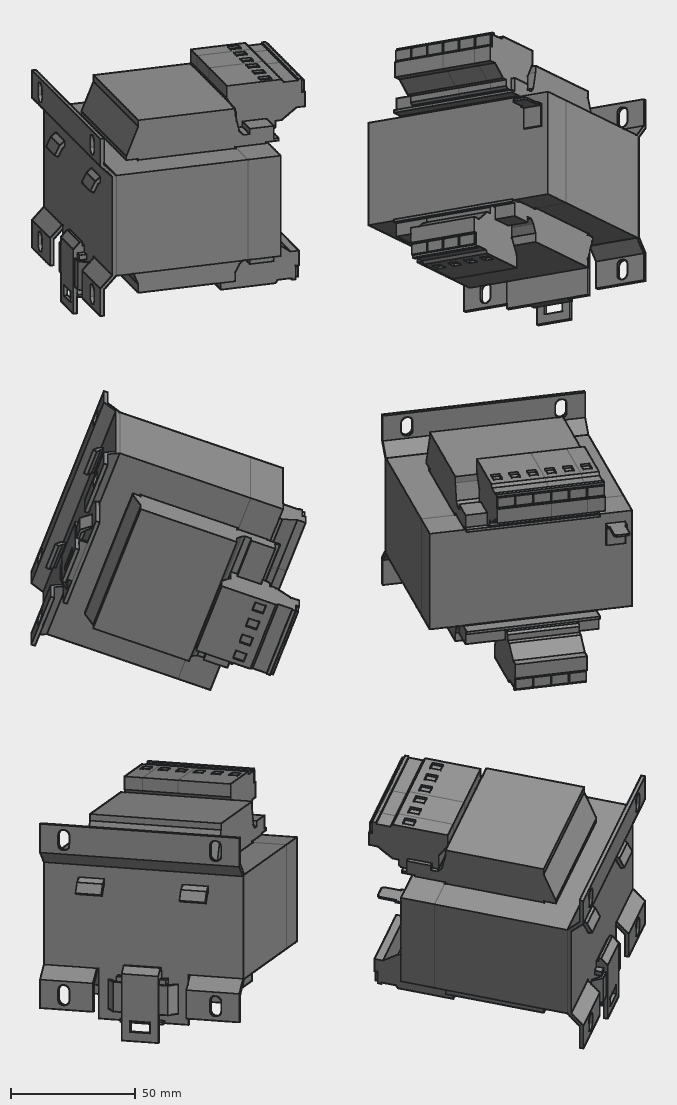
import cadquery as cq


OVERALL_DEPTH = 95.15
OVERALL_HEIGHT = 94.05

LEG = 14.0
CORE_WIDTH = 6 * LEG
CORE_DEPTH = 5 * LEG
SEAM_Y = 4 * LEG
STACK = 43.0
HALF_STACK = STACK / 2

BOBBIN_WIDTH = 55.3
BOBBIN_FRONT_Y = 14.4
BOBBIN_BACK_Y = 55.6
FLANGE_GAP = 0.4
FLANGE_Z = HALF_STACK + FLANGE_GAP
LIP_Z = 22.4
LIP_TOP_Z = 23.5
LIP_START_Y = 68.7
LIP_END_Y = 74.1
SEAT_TOP_Z = 29.0
SEAT_BACK_Y = 72.0
SEAT_FRONT_Y = 61.8
VALLEY_Z = 26.7
VALLEY_Y = 59.1
VALLEY_CHAMFER = 1.7
UPPER_CROWN_Z = 38.4
UPPER_FOOT_Y = 9.3
UPPER_KNEE_Z = 35.7
LOWER_CROWN_Z = 35.6
LOWER_FOOT_Y = 10.9
LOWER_KNEE_Z = 31.9
FOOT_TOP_Z = 23.5

PITCH = 7.45
TERMINAL_START_X = -26.05
TERMINAL_TOP_Z = 45.0
TERMINAL_BACK_Y = 88.4
TERMINAL_FACE_Y = 87.0
TERMINAL_FRONT_Y = 55.2
TERMINAL_FRONT_LOW_Z = 39.6
TERMINAL_NECK_Y = 59.1
TERMINAL_NECK_Z = 33.3
LATCH_BOTTOM_Z = 23.9
LATCH_TOP_Z = 27.5
LATCH_BACK_Y = 75.9
LATCH_CHAMFER = 1.0
RAMP_START_Y = 78.4
RAMP_END_Y = 84.8
ENTRY_LOW_Z = 32.2
ENTRY_HIGH_Z = 38.5
RIDGE_FRONT_Y = 85.4
RIDGE_TOP_Z = 44.4
LEDGE_Z = 43.7
LEDGE_FRONT_Y = 79.4
TERMINAL_TOP_BACK_Y = 78.4
UPPER_BLOCKS = (1, 2, 3)
LOWER_BLOCKS = (4,)
LOWER_FIRST_POLE = 1
POCKET_WIDTH = 3.6
POCKET_LENGTH = 4.5
POCKET_CENTER_Y = 72.6
POCKET_DEPTH = 1.0
MARKER_GAP = 0.5
MARKER_THICKNESS = 1.1
MARKER_LOW_Z = 39.1
MARKER_HIGH_Z = 43.4

SHEET = 1.65
PLATE_FRONT_Y = -SHEET
FOOT_FRONT_Y = TERMINAL_BACK_Y - OVERALL_DEPTH
FOOT_BACK_Y = FOOT_FRONT_Y + SHEET
PLATE_HALF_HEIGHT = 38.0
BEND_BACK_Z = (21.6, 26.8)
BEND_FRONT_Z = (21.1, 26.2)
TONGUE_HALF_WIDTH = 18.9
TONGUE_BOTTOM_Z = -41.8
NOTCH_WIDTH = 0.8
SLOT_SPACING = 64.0
SLOT_LENGTH = 8.4
SLOT_WIDTH = 4.8

HOOK_WIDTH = 10.8
HOOK_X = 21.9
HOOK_ROOT_Z = (13.6, 16.0)
HOOK_OUTER_BEND = (-3.8, 14.3)
HOOK_OUTER_TIP = (-5.9, 10.3)
HOOK_INNER_TIP = (-4.4, 9.5)
HOOK_INNER_BEND = (-2.6, 12.9)

CLIP_WIDTH = 15.4
CLIP_FRONT_Y = -6.35
CLIP_BACK_Y = CLIP_FRONT_Y + SHEET
CLIP_BOTTOM_Z = TERMINAL_TOP_Z - OVERALL_HEIGHT
CLIP_TOP_Z = -18.7
CLIP_HEAD_STEP_Y = -2.5
CLIP_HEAD_STEP_Z = -20.3
CLIP_CHAMFER_Y = -3.6
CLIP_CHAMFER_Z = -21.5
CLIP_HEAD_BOTTOM_Z = -25.3
CLIP_WINDOW_WIDTH = 8.4
CLIP_WINDOW_Z = (-45.3, -40.7)
CROSSBAR_WIDTH = 20.8
CROSSBAR_TOP_Z = -23.2
STOP_WIDTH = 17.8
STOP_TOP_Z = -40.7
GUIDE_BASE_WIDTH = 29.5
GUIDE_TOP_WIDTH = 23.0
GUIDE_FRONT_Y = -5.7
GUIDE_Z = (-37.5, -25.3)

TAB_X = -35.1
TAB_BASE_WIDTH = 7.9
TAB_BLADE_WIDTH = 6.4
TAB_THICKNESS = 0.85
TAB_TOP_Z = 16.9
TAB_BOTTOM_Z = 7.5
TAB_SHOULDER_Y = 73.2
TAB_TIP_Y = 81.1
TAB_TIP_CHAMFER = 0.9


def box(x, y, z):
    """Box from (low, high) ranges along each axis."""
    size = [high - low for low, high in (x, y, z)]
    return cq.Workplane("XY").box(*size, centered=False).translate((x[0], y[0], z[0]))


def centered(width, center=0.0):
    return (center - width / 2, center + width / 2)


def side_profile(x_start):
    """Sketch plane holding (Y, Z) points, extruding toward +X."""
    return cq.Workplane("YZ", origin=(x_start, 0, 0))


def make_core():
    height = (-HALF_STACK, HALF_STACK)
    core = box(centered(CORE_WIDTH), (0, SEAM_Y), height)
    for side in (-1, 1):
        core = core.cut(box(centered(LEG, side * 1.5 * LEG), (LEG, SEAM_Y), height))
    yoke = box(centered(CORE_WIDTH), (SEAM_Y, CORE_DEPTH), height)
    return core.union(yoke, clean=False)


def make_bobbin_half(sign, crown_z, foot_y, knee_z):
    """Part of the bobbin above (sign = 1) or below (sign = -1) the core."""

    def p(y, z):
        return (y, sign * z)

    return (
        side_profile(-BOBBIN_WIDTH / 2)
        .moveTo(*p(foot_y, FLANGE_Z))
        .lineTo(*p(LIP_START_Y, FLANGE_Z))
        .lineTo(*p(LIP_START_Y, LIP_Z))
        .lineTo(*p(LIP_END_Y, LIP_Z))
        .lineTo(*p(LIP_END_Y, LIP_TOP_Z))
        .lineTo(*p(SEAT_BACK_Y, LIP_TOP_Z))
        .lineTo(*p(SEAT_BACK_Y, SEAT_TOP_Z))
        .lineTo(*p(SEAT_FRONT_Y, SEAT_TOP_Z))
        .lineTo(*p(SEAT_FRONT_Y, VALLEY_Z))
        .lineTo(*p(VALLEY_Y, VALLEY_Z))
        .lineTo(*p(VALLEY_Y - VALLEY_CHAMFER, VALLEY_Z + VALLEY_CHAMFER))
        .lineTo(*p(BOBBIN_BACK_Y, knee_z))
        .lineTo(*p(BOBBIN_BACK_Y, crown_z))
        .lineTo(*p(BOBBIN_FRONT_Y, crown_z))
        .lineTo(*p(BOBBIN_FRONT_Y, knee_z))
        .lineTo(*p(foot_y, FOOT_TOP_Z))
        .close()
        .extrude(BOBBIN_WIDTH)
    )


def make_bobbin():
    bobbin = make_bobbin_half(1, UPPER_CROWN_Z, UPPER_FOOT_Y, UPPER_KNEE_Z)
    bobbin = bobbin.union(make_bobbin_half(-1, LOWER_CROWN_Z, LOWER_FOOT_Y, LOWER_KNEE_Z))
    depth = (BOBBIN_FRONT_Y, BOBBIN_BACK_Y)
    height = (-FLANGE_Z, FLANGE_Z)
    half = BOBBIN_WIDTH / 2
    for window in ((-half, -LEG), (LEG, half)):
        bobbin = bobbin.union(box(window, depth, height))
    return bobbin


def make_terminal_row(first_pole, blocks):
    """Upper row of terminal blocks, each block covering a number of poles."""
    outline = [
        (TERMINAL_FRONT_Y, TERMINAL_TOP_Z),
        (TERMINAL_FRONT_Y, TERMINAL_FRONT_LOW_Z),
        (TERMINAL_NECK_Y, TERMINAL_NECK_Z),
        (TERMINAL_NECK_Y, VALLEY_Z),
        (SEAT_FRONT_Y, VALLEY_Z),
        (SEAT_FRONT_Y, SEAT_TOP_Z),
        (SEAT_BACK_Y, SEAT_TOP_Z),
        (SEAT_BACK_Y, LATCH_BOTTOM_Z),
        (LATCH_BACK_Y - LATCH_CHAMFER, LATCH_BOTTOM_Z),
        (LATCH_BACK_Y, LATCH_BOTTOM_Z + LATCH_CHAMFER),
        (LATCH_BACK_Y, LATCH_TOP_Z),
        (RAMP_START_Y, LATCH_TOP_Z),
        (RAMP_END_Y, ENTRY_LOW_Z),
        (TERMINAL_BACK_Y, ENTRY_LOW_Z),
        (TERMINAL_BACK_Y, ENTRY_HIGH_Z),
        (TERMINAL_FACE_Y, ENTRY_HIGH_Z),
        (TERMINAL_FACE_Y, RIDGE_TOP_Z),
        (RIDGE_FRONT_Y, RIDGE_TOP_Z),
        (RIDGE_FRONT_Y, LEDGE_Z),
        (LEDGE_FRONT_Y, LEDGE_Z),
        (TERMINAL_TOP_BACK_Y, TERMINAL_TOP_Z),
    ]
    row = cq.Workplane("XY")
    pole = first_pole
    for poles in blocks:
        x = TERMINAL_START_X + pole * PITCH
        block = side_profile(x).polyline(outline).close().extrude(poles * PITCH)
        row = row.union(block, clean=False)
        pole += poles

    for index in range(first_pole, pole):
        x = TERMINAL_START_X + (index + 0.5) * PITCH
        pocket = box(
            centered(POCKET_WIDTH, x),
            centered(POCKET_LENGTH, POCKET_CENTER_Y),
            (TERMINAL_TOP_Z - POCKET_DEPTH, TERMINAL_TOP_Z),
        )
        marker = box(
            centered(PITCH - MARKER_GAP, x),
            (TERMINAL_FACE_Y, TERMINAL_FACE_Y + MARKER_THICKNESS),
            (MARKER_LOW_Z, MARKER_HIGH_Z),
        )
        row = row.cut(pocket, clean=False).union(marker, clean=False)
    return row


def make_plate():
    back_start, back_end = BEND_BACK_Z
    front_start, front_end = BEND_FRONT_Z
    outline = [
        (FOOT_BACK_Y, PLATE_HALF_HEIGHT),
        (FOOT_BACK_Y, back_end),
        (0, back_start),
        (0, -back_start),
        (FOOT_BACK_Y, -back_end),
        (FOOT_BACK_Y, -PLATE_HALF_HEIGHT),
        (FOOT_FRONT_Y, -PLATE_HALF_HEIGHT),
        (FOOT_FRONT_Y, -front_end),
        (PLATE_FRONT_Y, -front_start),
        (PLATE_FRONT_Y, front_start),
        (FOOT_FRONT_Y, front_end),
        (FOOT_FRONT_Y, PLATE_HALF_HEIGHT),
    ]
    plate = side_profile(-CORE_WIDTH / 2).polyline(outline).close().extrude(CORE_WIDTH)

    notch_width = 2 * (TONGUE_HALF_WIDTH + NOTCH_WIDTH)
    notch = box(centered(notch_width), (FOOT_FRONT_Y, 0), (-PLATE_HALF_HEIGHT, -front_start))
    tongue = box(centered(2 * TONGUE_HALF_WIDTH), (PLATE_FRONT_Y, 0), (TONGUE_BOTTOM_Z, -front_start))
    plate = plate.cut(notch).union(tongue)

    slots = (
        cq.Workplane("XZ", origin=(0, FOOT_BACK_Y, 0))
        .rect(SLOT_SPACING, SLOT_SPACING, forConstruction=True)
        .vertices()
        .slot2D(SLOT_LENGTH, SLOT_WIDTH, 90)
        .extrude(SHEET)
    )
    return plate.cut(slots)


def make_hook(center_x):
    outline = [
        (PLATE_FRONT_Y, HOOK_ROOT_Z[1]),
        HOOK_OUTER_BEND,
        HOOK_OUTER_TIP,
        HOOK_INNER_TIP,
        HOOK_INNER_BEND,
        (PLATE_FRONT_Y, HOOK_ROOT_Z[0]),
    ]
    return side_profile(center_x - HOOK_WIDTH / 2).polyline(outline).close().extrude(HOOK_WIDTH)


def make_clip():
    outline = [
        (PLATE_FRONT_Y, CLIP_HEAD_STEP_Z),
        (CLIP_HEAD_STEP_Y, CLIP_HEAD_STEP_Z),
        (CLIP_HEAD_STEP_Y, CLIP_TOP_Z),
        (CLIP_CHAMFER_Y, CLIP_TOP_Z),
        (CLIP_FRONT_Y, CLIP_CHAMFER_Z),
        (CLIP_FRONT_Y, CLIP_BOTTOM_Z),
        (CLIP_BACK_Y, CLIP_BOTTOM_Z),
        (CLIP_BACK_Y, CLIP_HEAD_BOTTOM_Z),
        (PLATE_FRONT_Y, CLIP_HEAD_BOTTOM_Z),
    ]
    clip = side_profile(-CLIP_WIDTH / 2).polyline(outline).close().extrude(CLIP_WIDTH)
    behind = (CLIP_BACK_Y, PLATE_FRONT_Y)
    crossbar = box(centered(CROSSBAR_WIDTH), behind, (CLIP_HEAD_BOTTOM_Z, CROSSBAR_TOP_Z))
    stop = box(centered(STOP_WIDTH), behind, (TONGUE_BOTTOM_Z, STOP_TOP_Z))
    window = box(centered(CLIP_WINDOW_WIDTH), (CLIP_FRONT_Y, CLIP_BACK_Y), CLIP_WINDOW_Z)
    return clip.cut(window).union(crossbar).union(stop)


def make_guide_wedge(base_width, top_width, front_y):
    """Symmetric trapezoid standing on the plate face, over the guide height."""
    low, high = GUIDE_Z
    return (
        cq.Workplane("XY", origin=(0, 0, low))
        .moveTo(-base_width / 2, PLATE_FRONT_Y)
        .lineTo(-top_width / 2, front_y)
        .lineTo(top_width / 2, front_y)
        .lineTo(base_width / 2, PLATE_FRONT_Y)
        .close()
        .extrude(high - low)
    )


def make_guide():
    """Strap bridging the clip, open above and below."""
    wall = CLIP_BACK_Y - GUIDE_FRONT_Y
    outer = make_guide_wedge(GUIDE_BASE_WIDTH, GUIDE_TOP_WIDTH, GUIDE_FRONT_Y)
    inner = make_guide_wedge(GUIDE_BASE_WIDTH - 2 * wall, GUIDE_TOP_WIDTH - 2 * wall, CLIP_BACK_Y)
    return outer.cut(inner)


def make_earth_tab():
    blade_z = (TAB_TOP_Z - TAB_THICKNESS, TAB_TOP_Z)
    base_x = centered(TAB_BASE_WIDTH, TAB_X)
    leg = box(base_x, (CORE_DEPTH, CORE_DEPTH + TAB_THICKNESS), (TAB_BOTTOM_Z, TAB_TOP_Z))
    base = box(base_x, (CORE_DEPTH, TAB_SHOULDER_Y), blade_z)
    blade = (
        box(centered(TAB_BLADE_WIDTH, TAB_X), (TAB_SHOULDER_Y, TAB_TIP_Y), blade_z)
        .edges("|Z and >Y")
        .chamfer(TAB_TIP_CHAMFER)
    )
    return leg.union(base).union(blade)


upper_terminals = make_terminal_row(0, UPPER_BLOCKS)
lower_terminals = make_terminal_row(LOWER_FIRST_POLE, LOWER_BLOCKS).mirror("XY")

result = make_core()
for component in (
    make_bobbin(),
    upper_terminals,
    lower_terminals,
    make_plate(),
    make_hook(-HOOK_X),
    make_hook(HOOK_X),
    make_guide(),
    make_clip(),
    make_earth_tab(),
):
    result = result.union(component, clean=False)